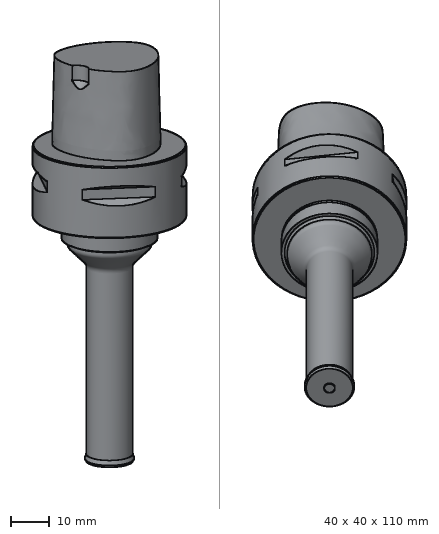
import cadquery as cq
import math

TOTAL_HEIGHT = 110.0
FLANGE_TOP = 86.0
SHANK_TAPER_START = 88.7
FLANGE_BOTTOM = 66.5
SEAT_HEIGHT = 65.7
HEAD_BOTTOM = 60.7

SHANK_RADIUS = 14.1
LOBE_HEIGHT = 0.9
SHANK_TAPER = 0.05
SHANK_POINTS = 48

KEYWAY_RADIUS = 3.1
KEYWAY_CENTRE_Y = -14.1
KEYWAY_WALL_DEPTH = 4.1

FLANGE_RADIUS = 20.0
FLANGE_CHAMFER = 0.3
HEAD_RADIUS = 25.0 / 2

SLOT_COUNT = 4
SLOT_FIRST_ANGLE = 45.0
SLOT_HEIGHT = 78.1
SLOT_FLOOR_DISTANCE = 17.6
SLOT_FLOOR_WIDTH = 2.8
SLOT_MOUTH_WIDTH = 5.4

NECK_RADIUS = 22.0 / 2
NECK_SHOULDER = 0.7
NECK_BOTTOM = 59.4
NECK_ROUNDING = 1.5
ROD_RADIUS = 12.1 / 2
ROD_TOP = 52.9
LIP_RADIUS = 6.5
LIP_TAPER_TOP = 2.2
LIP_BOTTOM = 1.0
TIP_FACE_RADIUS = ROD_RADIUS
TIP_FACE_HEIGHT = 0.3
NUB_RADIUS = 2.9 / 2


def shank_point(angle, radius):
    """Point on the curve with support function radius - LOBE_HEIGHT * sin(3 * angle)."""
    support = radius - LOBE_HEIGHT * math.sin(3 * angle)
    slope = -3 * LOBE_HEIGHT * math.cos(3 * angle)
    x = support * math.cos(angle) - slope * math.sin(angle)
    y = support * math.sin(angle) + slope * math.cos(angle)
    return (x, y)


def shank_wire(height, radius):
    """Closed lobed outline at the given height."""
    angles = [2 * math.pi * i / SHANK_POINTS for i in range(SHANK_POINTS)]
    points = [shank_point(angle, radius) for angle in angles]
    positions = [cq.Vector(x, y, height) for x, y in points]
    return cq.Wire.assembleEdges([cq.Edge.makeSpline(positions, periodic=True)])


def make_shank():
    taper_height = TOTAL_HEIGHT - SHANK_TAPER_START
    top_radius = SHANK_RADIUS - SHANK_TAPER * taper_height / 2
    base_height = SHANK_TAPER_START - FLANGE_TOP
    base_wire = shank_wire(FLANGE_TOP, SHANK_RADIUS)
    base = cq.Workplane(cq.Solid.extrudeLinear(base_wire, [], cq.Vector(0, 0, base_height)))
    sections = [
        shank_wire(SHANK_TAPER_START, SHANK_RADIUS),
        shank_wire(TOTAL_HEIGHT, top_radius),
    ]
    taper = cq.Workplane(cq.Solid.makeLoft(sections, True))
    return base.union(taper)


def make_keyway_cutter():
    """Vertical drill shape with a 90 degree point, open at the top of the shank."""
    wall_bottom = TOTAL_HEIGHT - KEYWAY_WALL_DEPTH
    profile = (
        cq.Workplane("XZ")
        .moveTo(0, TOTAL_HEIGHT)
        .lineTo(KEYWAY_RADIUS, TOTAL_HEIGHT)
        .lineTo(KEYWAY_RADIUS, wall_bottom)
        .lineTo(0, wall_bottom - KEYWAY_RADIUS)
        .close()
    )
    return profile.revolve(360, (0, 0), (0, 1)).translate((0, KEYWAY_CENTRE_Y, 0))


def make_slot_cutter(angle):
    """Tangential slot with a flat floor and flared side walls."""
    floor_half = SLOT_FLOOR_WIDTH / 2
    mouth_half = SLOT_MOUTH_WIDTH / 2
    cutter = (
        cq.Workplane("XZ")
        .moveTo(SLOT_FLOOR_DISTANCE, SLOT_HEIGHT - floor_half)
        .lineTo(FLANGE_RADIUS, SLOT_HEIGHT - mouth_half)
        .lineTo(FLANGE_RADIUS, SLOT_HEIGHT + mouth_half)
        .lineTo(SLOT_FLOOR_DISTANCE, SLOT_HEIGHT + floor_half)
        .close()
        .extrude(FLANGE_RADIUS, both=True)
    )
    return cutter.rotate((0, 0, 0), (0, 0, 1), angle)


def make_flange():
    flange = (
        cq.Workplane("XY", origin=(0, 0, FLANGE_BOTTOM))
        .circle(FLANGE_RADIUS)
        .extrude(FLANGE_TOP - FLANGE_BOTTOM)
        .edges()
        .chamfer(FLANGE_CHAMFER)
    )
    for i in range(SLOT_COUNT):
        angle = SLOT_FIRST_ANGLE + i * 360.0 / SLOT_COUNT
        flange = flange.cut(make_slot_cutter(angle))
    return flange


def make_holder():
    boss = (
        cq.Workplane("XY", origin=(0, 0, SEAT_HEIGHT))
        .circle(HEAD_RADIUS)
        .extrude(FLANGE_BOTTOM - SEAT_HEIGHT)
    )
    shank = make_shank().cut(make_keyway_cutter())
    return make_flange().union(boss).union(shank)


def make_tool():
    """Turned tool whose head seats against the boss of the holder."""
    cone_slope = math.sqrt(0.5)
    width = NECK_RADIUS - ROD_RADIUS
    height = NECK_BOTTOM - ROD_TOP
    root_radius = (height - width) / (2 * cone_slope - 1) - NECK_ROUNDING
    cone_top_x = NECK_RADIUS - NECK_ROUNDING * (1 - cone_slope)
    cone_top_z = NECK_BOTTOM - NECK_ROUNDING * cone_slope
    cone_bottom_x = ROD_RADIUS + root_radius * (1 - cone_slope)
    cone_bottom_z = ROD_TOP + root_radius * cone_slope
    profile = (
        cq.Workplane("XZ")
        .moveTo(0, SEAT_HEIGHT)
        .lineTo(HEAD_RADIUS, SEAT_HEIGHT)
        .lineTo(HEAD_RADIUS, HEAD_BOTTOM)
        .lineTo(NECK_RADIUS + NECK_SHOULDER, HEAD_BOTTOM)
        .lineTo(NECK_RADIUS, HEAD_BOTTOM - NECK_SHOULDER)
        .lineTo(NECK_RADIUS, NECK_BOTTOM)
        .tangentArcPoint((cone_top_x, cone_top_z), relative=False)
        .lineTo(cone_bottom_x, cone_bottom_z)
        .tangentArcPoint((ROD_RADIUS, ROD_TOP), relative=False)
        .lineTo(ROD_RADIUS, LIP_TAPER_TOP)
        .lineTo(LIP_RADIUS, LIP_BOTTOM)
        .lineTo(TIP_FACE_RADIUS, TIP_FACE_HEIGHT)
        .lineTo(NUB_RADIUS, TIP_FACE_HEIGHT)
        .lineTo(NUB_RADIUS, 0)
        .lineTo(0, 0)
        .close()
    )
    return profile.revolve(360, (0, 0), (0, 1))


holder = make_holder()
tool = make_tool()
result = cq.Compound.makeCompound([holder.val(), tool.val()])